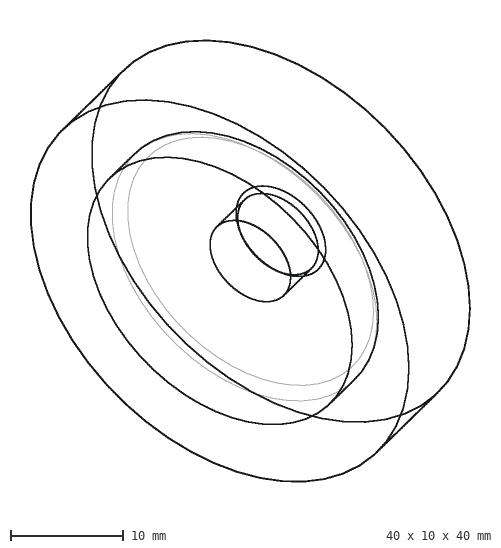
import cadquery as cq

outer_diameter = 40.0
thickness = 10.0

recess_diameter = 28.0
recess_depth = thickness / 2
recess_floor_fillet = 1.0

hole_diameter = 8.5
hole_chamfer = 0.5


def front_cylinder(diameter, depth):
    """Cylinder on the disc axis, running from the front face to the given depth."""
    front = cq.Workplane("XZ", origin=(0, -thickness / 2, 0))
    return front.circle(diameter / 2).extrude(-depth)


def make_recess():
    """Recess volume, rounded where its wall meets its floor."""
    recess = front_cylinder(recess_diameter, recess_depth)
    return recess.faces(">Y").edges().fillet(recess_floor_fillet)


def make_hole():
    """Hole volume, widening at 45 degrees towards the back face."""
    bore = front_cylinder(hole_diameter, thickness)
    wide_radius = hole_diameter / 2 + hole_chamfer
    cone = cq.Solid.makeCone(
        wide_radius,
        wide_radius - hole_chamfer,
        hole_chamfer,
        pnt=cq.Vector(0, thickness / 2, 0),
        dir=cq.Vector(0, -1, 0),
    )
    return bore.union(cone)


disc = front_cylinder(outer_diameter, thickness)
result = disc.cut(make_recess()).cut(make_hole())